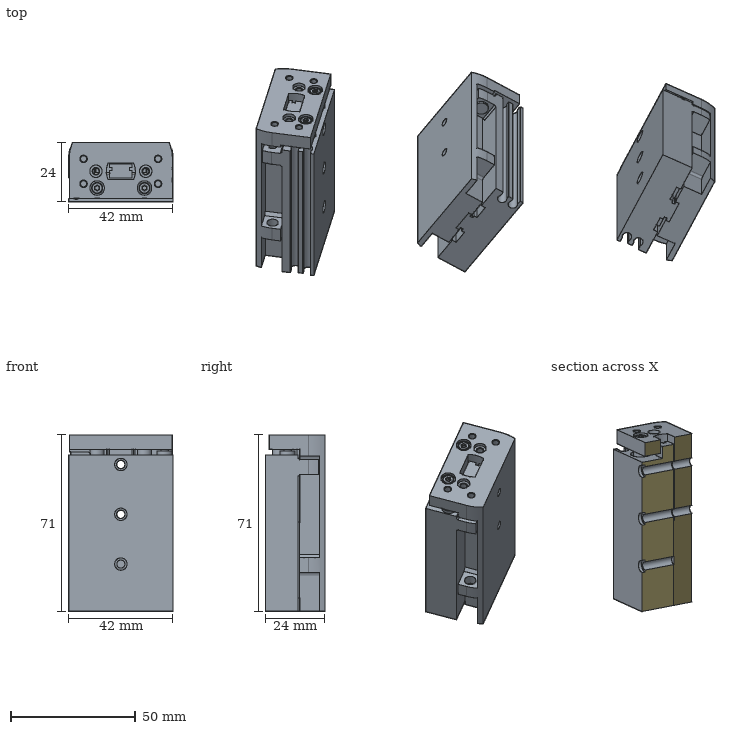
import cadquery as cq
import math


total_height = 71.0
total_depth = 24.0

housing_half_width = 21.0
housing_height = 63.0
housing_back_y = 13.1
channel_half_width = 10.5
channel_floor_y = 11.3

slot_opening = 3.0
slot_lip_chamfer = 0.2
slot_bore_diameter = 3.7
slot_bore_center_x = -17.95
front_slot_y = 3.0
back_slot_y = 8.1
tongue_setback = 0.6

rail_half_width = 4.55
rail_front_y = 9.65
rail_back_y = 15.35
rail_top_z = 68.0
rail_groove_depth = 1.1
rail_groove_low_y = 12.65
rail_groove_high_y = 13.9

mount_hole_diameter = 3.3
mount_counterbore_diameter = 5.0
mount_counterbore_depth = 1.4
mount_hole_pitch = 20.0
mount_hole_top_z = 59.1
mount_hole_count = 3
mount_hole_through_count = 2

rod_x = 9.5
rod_y = 5.6
rod_diameter = 5.6
rod_bore_diameter = 8.0
rod_bore_depth = 7.1
rod_end_z = housing_height - rod_bore_depth

arm_inner_x = 12.8
arm_back_y = 21.2
arm_bottom_z = 54.95
arm_top_z = 61.05
arm_root_chamfer = 0.7

bumper_x = 17.2
bumper_y = 17.7
bumper_head_diameter = 5.6
bumper_head_length = 1.0
bumper_hole_diameter = 3.0
bumper_hole_depth = 2.1

carriage_half_width = 20.7
plate_front_y = 1.5
plate_bottom_z = 65.1
side_curve_start_y = 17.3
side_curve_radius = 18.0

web_half_width = 12.15
web_front_y = 13.7
back_plate_front_y = 21.7
left_recess_top_z = 64.1
right_recess_top_z = 62.5
recess_fillet = 1.3
bar_bottom_z = 15.55
bar_top_z = 21.6
bar_chamfer = 1.3
bar_lower_fillet = 1.0
bar_hole_diameter = 4.5
bar_hole_depth = 4.25

guide_half_width = 10.15
guide_front_y = 11.8
guide_bottom_z = 5.3
guide_top_z = 35.9

window_front_y = 9.0
window_back_y = 15.6
window_half_width = 5.8
window_end_half_width = 5.1

corner_hole_x = 15.0
corner_hole_ys = (7.3, 17.3)
corner_hole_depth = 5.0

center_hole_x = 10.0
center_hole_y = 12.35
center_counterbore_diameter = 5.0
center_counterbore_depth = 1.4

thread_diameter = 2.5
thread_mouth_diameter = 3.0

screw_recess_diameter = 5.8
screw_recess_depth = 1.1
screw_head_diameter = 4.5
screw_head_chamfer = 0.2
screw_head_drop = 0.5
socket_core_diameter = 1.7
socket_lobe_diameter = 0.6
socket_lobe_count = 6
socket_depth = 1.1

stop_x = 17.6
stop_y = 8.9
stop_head_diameter = 6.0
stop_neck_diameter = 3.0
stop_neck_length = 0.7


def box(x0, x1, y0, y1, z0, z1):
    return cq.Workplane("XY").box(x1 - x0, y1 - y0, z1 - z0, centered=False).translate((x0, y0, z0))


def upright_cylinder(x, y, diameter, z0, z1):
    return cq.Workplane("XY", origin=(x, y, z0)).circle(diameter / 2).extrude(z1 - z0)


def y_cylinder(x, z, diameter, y0, y1):
    return cq.Workplane("XZ", origin=(x, y0, z)).circle(diameter / 2).extrude(y0 - y1)


def curved_side_outline(half_width, front_y, back_y, height):
    """Prism with straight flanks that curve inward towards the back."""

    def inset(y):
        run = y - side_curve_start_y
        return side_curve_radius - math.sqrt(side_curve_radius**2 - run**2)

    middle_y = (side_curve_start_y + back_y) / 2
    middle_x = half_width - inset(middle_y)
    back_x = half_width - inset(back_y)
    return (
        cq.Workplane("XY")
        .moveTo(-half_width, front_y)
        .lineTo(half_width, front_y)
        .lineTo(half_width, side_curve_start_y)
        .threePointArc((middle_x, middle_y), (back_x, back_y))
        .lineTo(-back_x, back_y)
        .threePointArc((-middle_x, middle_y), (-half_width, side_curve_start_y))
        .close()
        .extrude(height)
    )


mount_hole_zs = [mount_hole_top_z - i * mount_hole_pitch for i in range(mount_hole_count)]


def slot_lip(edge_y, face_x, outward):
    """Chamfer along one lip of a slot; outward is -1 for the low edge and 1 for the high edge."""
    return (
        cq.Workplane("XY")
        .moveTo(face_x, edge_y)
        .lineTo(face_x, edge_y + outward * slot_lip_chamfer)
        .lineTo(face_x + slot_lip_chamfer, edge_y)
        .close()
        .extrude(housing_height)
    )


def sensor_slot(center_y, low_face_x, high_face_x):
    """Round groove with a narrower mouth that opens to the -X side."""
    low_y = center_y - slot_opening / 2
    high_y = center_y + slot_opening / 2
    bore = upright_cylinder(slot_bore_center_x, center_y, slot_bore_diameter, 0, housing_height)
    mouth = box(-housing_half_width, slot_bore_center_x, low_y, high_y, 0, housing_height)
    low_lip = slot_lip(low_y, low_face_x, -1)
    high_lip = slot_lip(high_y, high_face_x, 1)
    return bore.union(mouth).union(low_lip).union(high_lip)


def cut_sensor_slots(body):
    """Two slots with a set-back tongue between them."""
    side_x = -housing_half_width
    tongue_x = side_x + tongue_setback
    body = body.cut(box(side_x, tongue_x, front_slot_y, back_slot_y, 0, housing_height))
    body = body.cut(sensor_slot(front_slot_y, side_x, tongue_x))
    return body.cut(sensor_slot(back_slot_y, tongue_x, side_x))


def arms():
    """Two stop arms behind the housing, with sloped roots."""
    profile = (
        cq.Workplane("YZ", origin=(-housing_half_width, 0, 0))
        .moveTo(channel_floor_y, arm_bottom_z - arm_root_chamfer)
        .lineTo(housing_back_y, arm_bottom_z - arm_root_chamfer)
        .lineTo(housing_back_y + arm_root_chamfer, arm_bottom_z)
        .lineTo(arm_back_y, arm_bottom_z)
        .lineTo(arm_back_y, arm_top_z)
        .lineTo(housing_back_y + arm_root_chamfer, arm_top_z)
        .lineTo(housing_back_y, arm_top_z + arm_root_chamfer)
        .lineTo(channel_floor_y, arm_top_z + arm_root_chamfer)
        .close()
        .extrude(2 * housing_half_width)
    )
    outline = curved_side_outline(housing_half_width, 0, arm_back_y, housing_height)
    gap = box(-arm_inner_x, arm_inner_x, 0, total_depth, 0, housing_height)
    return profile.intersect(outline).cut(gap)


def rail():
    """Guide rail with a groove along each flank."""
    body = box(-rail_half_width, rail_half_width, rail_front_y, rail_back_y, 0, rail_top_z)
    for x in (-rail_half_width, rail_half_width - rail_groove_depth):
        groove = box(x, x + rail_groove_depth, rail_groove_low_y, rail_groove_high_y, 0, rail_top_z)
        body = body.cut(groove)
    return body


def add_bumper(body):
    """Round bumper below the left arm, with a hole in the top of the arm."""
    head_bottom_z = arm_bottom_z - bumper_head_length
    head = upright_cylinder(-bumper_x, bumper_y, bumper_head_diameter, head_bottom_z, arm_bottom_z)
    hole_bottom_z = arm_top_z - bumper_hole_depth
    hole = upright_cylinder(-bumper_x, bumper_y, bumper_hole_diameter, hole_bottom_z, arm_top_z)
    return body.union(head).cut(hole)


def make_housing():
    width = housing_half_width
    body = box(-width, width, 0, housing_back_y, 0, housing_height)
    channel_x = channel_half_width
    body = body.cut(box(-channel_x, channel_x, channel_floor_y, housing_back_y, 0, housing_height))
    body = cut_sensor_slots(body)
    body = body.union(arms()).union(rail())
    for x in (-rod_x, rod_x):
        body = body.cut(upright_cylinder(x, rod_y, rod_bore_diameter, rod_end_z, housing_height))
    body = add_bumper(body)
    for z in mount_hole_zs:
        body = body.cut(y_cylinder(0, z, mount_hole_diameter, 0, rail_back_y))
        body = body.cut(y_cylinder(0, z, mount_counterbore_diameter, 0, mount_counterbore_depth))
    return body


def upper_recess(top_z):
    """Open space to the left of the web, between the top plate and the bar."""
    body = box(-housing_half_width, -web_half_width, web_front_y, back_plate_front_y, bar_top_z, top_z)
    body = body.edges(">X and <Z").chamfer(bar_chamfer)
    return body.edges(">X and >Z").fillet(recess_fillet)


def lower_recess():
    """Open space to the left of the web, below the bar."""
    body = box(-housing_half_width, -web_half_width, web_front_y, back_plate_front_y, 0, bar_bottom_z)
    return body.edges(">X and >Z").fillet(bar_lower_fillet)


def plate_and_web():
    """Top plate, back plate, web and bars, with the recesses at both sides."""
    body = curved_side_outline(carriage_half_width, plate_front_y, total_depth, total_height)
    width = housing_half_width
    body = body.cut(box(-width, width, 0, web_front_y, 0, plate_bottom_z))
    body = body.cut(upper_recess(left_recess_top_z)).cut(lower_recess())
    right_upper = upper_recess(right_recess_top_z).mirror("YZ")
    right_lower = lower_recess().mirror("YZ")
    return body.cut(right_upper).cut(right_lower)


def guide_block():
    width = guide_half_width
    return box(-width, width, guide_front_y, web_front_y, guide_bottom_z, guide_top_z)


def window():
    """Opening around the rail above the guide block, with bulging ends."""
    middle_y = (window_front_y + window_back_y) / 2
    end_x = window_end_half_width
    return (
        cq.Workplane("XY", origin=(0, 0, guide_top_z))
        .moveTo(-end_x, window_front_y)
        .lineTo(end_x, window_front_y)
        .threePointArc((window_half_width, middle_y), (end_x, window_back_y))
        .lineTo(-end_x, window_back_y)
        .threePointArc((-window_half_width, middle_y), (-end_x, window_front_y))
        .close()
        .extrude(total_height - guide_top_z)
    )


def threaded_hole(x, y, bottom_z, top_z):
    """Hole with a countersunk mouth."""
    depth = (thread_mouth_diameter - thread_diameter) / 2
    mouth = cq.Solid.makeCone(
        thread_diameter / 2, thread_mouth_diameter / 2, depth, cq.Vector(x, y, top_z - depth)
    )
    return upright_cylinder(x, y, thread_diameter, bottom_z, top_z).union(cq.Workplane(mouth))


def screw_socket(x, top_z):
    """Six-lobed socket in a screw head."""
    bottom_z = top_z - socket_depth
    body = upright_cylinder(x, rod_y, socket_core_diameter, bottom_z, top_z)
    for i in range(socket_lobe_count):
        angle = 2 * math.pi * (i + 0.5) / socket_lobe_count
        lobe_x = x + socket_core_diameter / 2 * math.cos(angle)
        lobe_y = rod_y + socket_core_diameter / 2 * math.sin(angle)
        body = body.union(upright_cylinder(lobe_x, lobe_y, socket_lobe_diameter, bottom_z, top_z))
    return body


def screw_recess(x):
    """Counterbore that leaves the screw head standing in it."""
    bottom_z = total_height - screw_recess_depth
    head_top_z = total_height - screw_head_drop
    recess = upright_cylinder(x, rod_y, screw_recess_diameter, bottom_z, total_height)
    head = upright_cylinder(x, rod_y, screw_head_diameter, bottom_z, head_top_z)
    head = head.faces(">Z").edges().chamfer(screw_head_chamfer)
    return recess.cut(head).union(screw_socket(x, head_top_z))


def stop_pin():
    """Headed pin below the top plate that rests on the housing."""
    neck_z = plate_bottom_z - stop_neck_length
    neck = upright_cylinder(stop_x, stop_y, stop_neck_diameter, neck_z, plate_bottom_z)
    return neck.union(upright_cylinder(stop_x, stop_y, stop_head_diameter, housing_height, neck_z))


def cut_center_hole(body, x):
    """Counterbored hole that continues, countersunk, down to the level of the guide block."""
    ledge_z = total_height - center_counterbore_depth
    counterbore = upright_cylinder(x, center_hole_y, center_counterbore_diameter, ledge_z, total_height)
    return body.cut(counterbore).cut(threaded_hole(x, center_hole_y, guide_top_z, ledge_z))


def rod(x):
    return upright_cylinder(x, rod_y, rod_diameter, rod_end_z, plate_bottom_z)


def bar_hole(x):
    return upright_cylinder(x, bumper_y, bar_hole_diameter, bar_top_z - bar_hole_depth, bar_top_z)


def make_carriage():
    body = plate_and_web().union(guide_block())
    body = body.cut(window()).cut(rail())
    corner_hole_z = total_height - corner_hole_depth
    for side in (-1, 1):
        for y in corner_hole_ys:
            body = body.cut(threaded_hole(side * corner_hole_x, y, corner_hole_z, total_height))
        body = cut_center_hole(body, side * center_hole_x)
        body = body.cut(screw_recess(side * rod_x))
        body = body.union(rod(side * rod_x))
        body = body.cut(bar_hole(side * bumper_x))
    body = body.union(stop_pin())
    for z in mount_hole_zs[:mount_hole_through_count]:
        body = body.cut(y_cylinder(0, z, mount_hole_diameter, guide_front_y, total_depth))
    return body


housing = make_housing()
carriage = make_carriage()
result = cq.Compound.makeCompound([housing.solids().val(), carriage.solids().val()])